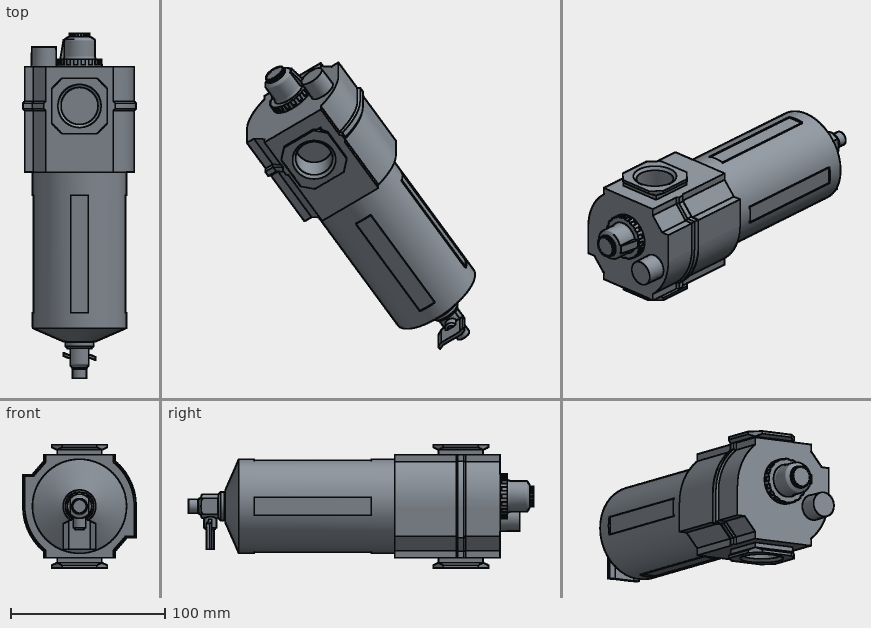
import cadquery as cq
import math


HOUSING_TOP_Y = 25.4
HOUSING_BOTTOM_Y = -42.8
HOUSING_HALF_WIDTH = 35.5
HOUSING_HALF_HEIGHT = 33.4
NECK_HALF_WIDTH = 21.8
SHOULDER_Z = 28.7
LEDGE_X = 30.0
LEDGE_Z = 19.3
RIDGE_HEIGHT = 1.25
RIDGE_BASE_HALF = 3.1
RIDGE_CREST_HALF = RIDGE_BASE_HALF - RIDGE_HEIGHT

PORT_FACE_Z = 40.0
PORT_SIDE = 36.0
PORT_CORNER_CUT = 6.7
PORT_RIM_THICKNESS = 1.8
PORT_TAPER_HEIGHT = 1.7
PORT_NECK_SIDE = 29.0
PORT_BORE_RADIUS = 12.0
PORT_BORE_DEPTH = 20.0
PORT_CHAMFER = 2.0

BOWL_RADIUS = 30.5
BOWL_CYLINDER_END_Y = -143.9
BOWL_CONE_END_Y = -152.6
BOWL_CONE_END_RADIUS = 10.6
WINDOW_START_Y = -58.0
WINDOW_END_Y = -133.9
WINDOW_WIDTH = 11.6
WINDOW_FLAT_RADIUS = 29.3

DRAIN_END_Y = -176.5
COLLAR_RADIUS = 9.25
COLLAR_EDGE = 0.5
COLLAR_RIM_END_Y = -155.5
COLLAR_END_Y = -157.0
BARREL_RADIUS = 7.9
BARREL_FLAT_HALF = 6.0
BARREL_FLAT_START_Y = -157.4
BARREL_ROUND_START_Y = -166.7
BARREL_ROUND_END_Y = -168.2
BARREL_ROUND_END_RADIUS = 6.5
THROAT_END_Y = -169.6
THROAT_END_RADIUS = 5.0
GROOVE_RADIUS = 4.3
GROOVE_END_Y = -170.5
SPOUT_RADIUS = 4.65
STEM_Y = -162.3
STEM_RADIUS = 4.1
STEM_END_Z = -15.2
STEM_CHAMFER = 1.4
WING_THICKNESS = 2.2
WING_FLAT_HALF = 7.1
WING_HALF_WIDTH = 10.5
WING_BEND = 1.4
WING_TOP_Z = -8.5
WING_BOTTOM_Z = -28.0
WING_CORNER_X = 5.1
WING_CORNER_Z = -11.3

KNOB_AXIS_Z = 6.4
KNOB_TOP_Y = 47.2
FLANGE_RADIUS = 14.6
FLANGE_BASE_TOP_Y = 26.6
FLANGE_TOP_Y = 30.1
FLARE_RADIUS = 10.7
FLARE_TOP_Y = 32.0
DOME_RADIUS = 10.1
DOME_SHOULDER_Y = 42.2
DOME_ROUND_RADIUS = 9.6
DOME_ROUND_END_Y = 43.3
DOME_TOP_RADIUS = 7.2
CAP_RADIUS = 6.7
CAP_BASE_Y = 44.8
NOTCH_COUNT = 18
FLANGE_NOTCH_WIDTH = 2.6
FLANGE_NOTCH_DEPTH = 0.5
CAP_NOTCH_WIDTH = 0.9
CAP_NOTCH_DEPTH = 0.4
RIB_WIDTH = 5.5
RIB_TOP_Y = 43.0
RIB_TOP_X = -10.4
RIB_BOTTOM_X = -12.6

PLUG_X = -23.05
PLUG_Z = -8.1
PLUG_END_Y = 38.2
PLUG_BASE_RADIUS = 8.25
PLUG_END_RADIUS = 7.95


def plane_at_y(y, x=0, z=0):
    """Sketch plane facing +Y; its local axes are +X and -Z."""
    return cq.Workplane(cq.Plane(origin=(x, y, z), xDir=(1, 0, 0), normal=(0, 1, 0)))


def box_between(x_range, y_range, z_range):
    sizes = [high - low for low, high in (x_range, y_range, z_range)]
    corner = (x_range[0], y_range[0], z_range[0])
    return cq.Workplane("XY").box(*sizes, centered=False).translate(corner)


def revolve_profile(profile):
    """Revolve a closed sketch of (radius, y) points about the Y axis."""
    return profile.close().revolve(360, (0, 0, 0), (0, 1, 0))


def housing_outline(y, offset=0.0):
    """Cross-section with half-turn symmetry: two ledges and two round sides
    that run tangent into the flat side walls."""
    side_run = HOUSING_HALF_WIDTH - NECK_HALF_WIDTH
    side_radius = (side_run ** 2 + SHOULDER_Z ** 2) / (2 * side_run)
    half_angle = math.asin(SHOULDER_Z / side_radius) / 2
    round_mid_x = HOUSING_HALF_WIDTH - side_radius * (1 - math.cos(half_angle))
    round_mid_z = side_radius * math.sin(half_angle)
    outline = (
        plane_at_y(y)
        .moveTo(-NECK_HALF_WIDTH, -HOUSING_HALF_HEIGHT)
        .lineTo(NECK_HALF_WIDTH, -HOUSING_HALF_HEIGHT)
        .lineTo(NECK_HALF_WIDTH, -SHOULDER_Z)
        .threePointArc((round_mid_x, -round_mid_z), (HOUSING_HALF_WIDTH, 0))
        .lineTo(HOUSING_HALF_WIDTH, LEDGE_Z)
        .lineTo(LEDGE_X, LEDGE_Z)
        .lineTo(NECK_HALF_WIDTH, SHOULDER_Z)
        .lineTo(NECK_HALF_WIDTH, HOUSING_HALF_HEIGHT)
        .lineTo(-NECK_HALF_WIDTH, HOUSING_HALF_HEIGHT)
        .lineTo(-NECK_HALF_WIDTH, SHOULDER_Z)
        .threePointArc((-round_mid_x, round_mid_z), (-HOUSING_HALF_WIDTH, 0))
        .lineTo(-HOUSING_HALF_WIDTH, -LEDGE_Z)
        .lineTo(-LEDGE_X, -LEDGE_Z)
        .lineTo(-NECK_HALF_WIDTH, -SHOULDER_Z)
        .close()
    )
    return outline.offset2D(offset, "intersection") if offset else outline


def make_ridge():
    """Band with 45 degree flanks around the housing, flush with the port faces."""
    crest = housing_outline(-RIDGE_CREST_HALF, RIDGE_HEIGHT).extrude(2 * RIDGE_CREST_HALF)
    crest_wire = housing_outline(RIDGE_CREST_HALF, RIDGE_HEIGHT).val()
    base_wire = housing_outline(RIDGE_BASE_HALF).val()
    flank = cq.Workplane(cq.Solid.makeLoft([crest_wire, base_wire], True))
    ridge = crest.union(flank).union(flank.mirror("XZ"))
    full_width = (-2 * HOUSING_HALF_WIDTH, 2 * HOUSING_HALF_WIDTH)
    slab = box_between(full_width, full_width, (-HOUSING_HALF_HEIGHT, HOUSING_HALF_HEIGHT))
    return ridge.intersect(slab)


def make_port_boss():
    """Square neck flaring to a square rim whose corners are cut off."""
    rim_z = PORT_FACE_Z - PORT_RIM_THICKNESS
    taper_z = rim_z - PORT_TAPER_HEIGHT
    neck = (
        cq.Workplane("XY", origin=(0, 0, HOUSING_HALF_HEIGHT))
        .rect(PORT_NECK_SIDE, PORT_NECK_SIDE)
        .extrude(taper_z - HOUSING_HALF_HEIGHT)
    )
    taper = (
        cq.Workplane("XY", origin=(0, 0, taper_z))
        .rect(PORT_NECK_SIDE, PORT_NECK_SIDE)
        .workplane(offset=PORT_TAPER_HEIGHT)
        .rect(PORT_SIDE, PORT_SIDE)
        .loft(ruled=True)
    )
    rim = (
        cq.Workplane("XY", origin=(0, 0, rim_z))
        .rect(PORT_SIDE, PORT_SIDE)
        .extrude(PORT_RIM_THICKNESS)
    )
    corner_trim = (
        cq.Workplane("XY", origin=(0, 0, HOUSING_HALF_HEIGHT))
        .rect(PORT_SIDE, PORT_SIDE)
        .extrude(PORT_FACE_Z - HOUSING_HALF_HEIGHT)
        .edges("|Z")
        .chamfer(PORT_CORNER_CUT)
    )
    return neck.union(taper).union(rim).intersect(corner_trim)


def make_port_bore():
    """Blind bore with a 45 degree entry chamfer."""
    floor_z = PORT_FACE_Z - PORT_BORE_DEPTH
    return (
        cq.Workplane("XZ")
        .moveTo(0, floor_z)
        .lineTo(PORT_BORE_RADIUS, floor_z)
        .lineTo(PORT_BORE_RADIUS, PORT_FACE_Z - PORT_CHAMFER)
        .lineTo(PORT_BORE_RADIUS + PORT_CHAMFER, PORT_FACE_Z)
        .lineTo(0, PORT_FACE_Z)
        .close()
        .revolve(360, (0, 0, 0), (0, 1, 0))
    )


def make_housing():
    body = housing_outline(HOUSING_BOTTOM_Y).extrude(HOUSING_TOP_Y - HOUSING_BOTTOM_Y)
    body = body.union(make_ridge())
    boss = make_port_boss()
    bore = make_port_bore()
    body = body.union(boss).union(boss.mirror("XY"))
    return body.cut(bore).cut(bore.mirror("XY"))


def make_bowl():
    """Cylinder with a conical end and four shallow flat windows."""
    bowl = revolve_profile(
        cq.Workplane("XY")
        .moveTo(0, HOUSING_BOTTOM_Y)
        .lineTo(BOWL_RADIUS, HOUSING_BOTTOM_Y)
        .lineTo(BOWL_RADIUS, BOWL_CYLINDER_END_Y)
        .lineTo(BOWL_CONE_END_RADIUS, BOWL_CONE_END_Y)
        .lineTo(0, BOWL_CONE_END_Y)
    )
    window = box_between(
        (-WINDOW_WIDTH / 2, WINDOW_WIDTH / 2),
        (WINDOW_END_Y, WINDOW_START_Y),
        (WINDOW_FLAT_RADIUS, BOWL_RADIUS + 1),
    )
    for angle in (0, 90, 180, 270):
        bowl = bowl.cut(window.rotate((0, 0, 0), (0, 1, 0), angle))
    return bowl


def make_drain_barrel():
    """Turned barrel with collar and spout, flattened on both X sides."""
    barrel = revolve_profile(
        cq.Workplane("XY")
        .moveTo(0, BOWL_CONE_END_Y)
        .lineTo(COLLAR_RADIUS - COLLAR_EDGE, BOWL_CONE_END_Y)
        .lineTo(COLLAR_RADIUS, BOWL_CONE_END_Y - COLLAR_EDGE)
        .lineTo(COLLAR_RADIUS, COLLAR_RIM_END_Y)
        .lineTo(BARREL_RADIUS, COLLAR_END_Y)
        .lineTo(BARREL_RADIUS, BARREL_ROUND_START_Y)
        .tangentArcPoint((BARREL_ROUND_END_RADIUS, BARREL_ROUND_END_Y), relative=False)
        .tangentArcPoint((THROAT_END_RADIUS, THROAT_END_Y), relative=False)
        .lineTo(GROOVE_RADIUS, THROAT_END_Y)
        .lineTo(GROOVE_RADIUS, GROOVE_END_Y)
        .lineTo(SPOUT_RADIUS, GROOVE_END_Y)
        .lineTo(SPOUT_RADIUS, DRAIN_END_Y)
        .lineTo(0, DRAIN_END_Y)
    )
    flat_cut = box_between(
        (BARREL_FLAT_HALF, BARREL_RADIUS),
        (THROAT_END_Y, BARREL_FLAT_START_Y),
        (-BARREL_RADIUS, BARREL_RADIUS),
    )
    return barrel.cut(flat_cut).cut(flat_cut.mirror("YZ"))


def make_wing():
    """Bent plate: its -X tip leans toward +Y and its +X tip toward -Y."""
    half = WING_THICKNESS / 2
    plate = (
        cq.Workplane("XY", origin=(0, STEM_Y, WING_BOTTOM_Z))
        .moveTo(-WING_HALF_WIDTH, WING_BEND - half)
        .lineTo(-WING_FLAT_HALF, -half)
        .lineTo(WING_FLAT_HALF, -half)
        .lineTo(WING_HALF_WIDTH, -WING_BEND - half)
        .lineTo(WING_HALF_WIDTH, -WING_BEND + half)
        .lineTo(WING_FLAT_HALF, half)
        .lineTo(-WING_FLAT_HALF, half)
        .lineTo(-WING_HALF_WIDTH, WING_BEND + half)
        .close()
        .extrude(WING_TOP_Z - WING_BOTTOM_Z)
    )
    reach = WING_THICKNESS + WING_BEND
    face = (
        plane_at_y(STEM_Y - reach)
        .moveTo(-WING_HALF_WIDTH, -WING_BOTTOM_Z)
        .lineTo(-WING_HALF_WIDTH, -WING_CORNER_Z)
        .lineTo(-WING_CORNER_X, -WING_TOP_Z)
        .lineTo(WING_CORNER_X, -WING_TOP_Z)
        .lineTo(WING_HALF_WIDTH, -WING_CORNER_Z)
        .lineTo(WING_HALF_WIDTH, -WING_BOTTOM_Z)
        .close()
        .extrude(2 * reach)
    )
    return plate.intersect(face)


def make_drain_valve():
    stem = (
        cq.Workplane("XY", origin=(0, STEM_Y, STEM_END_Z))
        .circle(STEM_RADIUS)
        .extrude(-STEM_END_Z)
        .faces("<Z")
        .chamfer(STEM_CHAMFER)
    )
    return make_drain_barrel().union(stem).union(make_wing())


def cut_notches(knob, radius, depth, width, y_range):
    """Cut a ring of evenly spaced notches into a rim of the given radius."""
    pitch = 360 / NOTCH_COUNT
    cutter = box_between((-width / 2, width / 2), y_range, (radius - depth, radius + depth))
    for index in range(NOTCH_COUNT):
        angle = (index + 0.5) * pitch
        knob = knob.cut(cutter.rotate((0, 0, 0), (0, 1, 0), angle))
    return knob


def make_knob():
    knob = revolve_profile(
        cq.Workplane("XY")
        .moveTo(0, HOUSING_TOP_Y)
        .lineTo(FLANGE_RADIUS, HOUSING_TOP_Y)
        .lineTo(FLANGE_RADIUS, FLANGE_TOP_Y)
        .lineTo(FLARE_RADIUS, FLANGE_TOP_Y)
        .lineTo(DOME_RADIUS, FLARE_TOP_Y)
        .lineTo(DOME_RADIUS, DOME_SHOULDER_Y)
        .tangentArcPoint((DOME_ROUND_RADIUS, DOME_ROUND_END_Y), relative=False)
        .lineTo(DOME_TOP_RADIUS, CAP_BASE_Y)
        .lineTo(CAP_RADIUS, CAP_BASE_Y)
        .lineTo(CAP_RADIUS, KNOB_TOP_Y)
        .lineTo(0, KNOB_TOP_Y)
    )
    knob = cut_notches(
        knob, FLANGE_RADIUS, FLANGE_NOTCH_DEPTH, FLANGE_NOTCH_WIDTH, (FLANGE_BASE_TOP_Y, FLANGE_TOP_Y)
    )
    knob = cut_notches(knob, CAP_RADIUS, CAP_NOTCH_DEPTH, CAP_NOTCH_WIDTH, (CAP_BASE_Y, KNOB_TOP_Y))
    rib = (
        cq.Workplane("XY", origin=(0, 0, -RIB_WIDTH / 2))
        .moveTo(0, FLANGE_TOP_Y)
        .lineTo(RIB_BOTTOM_X, FLANGE_TOP_Y)
        .lineTo(RIB_TOP_X, RIB_TOP_Y)
        .lineTo(-CAP_RADIUS, RIB_TOP_Y)
        .lineTo(0, FLARE_TOP_Y)
        .close()
        .extrude(RIB_WIDTH)
    )
    return knob.union(rib).translate((0, 0, KNOB_AXIS_Z))


def make_filler_plug():
    """Slightly tapered round plug."""
    return (
        plane_at_y(HOUSING_TOP_Y, PLUG_X, PLUG_Z)
        .circle(PLUG_BASE_RADIUS)
        .workplane(offset=PLUG_END_Y - HOUSING_TOP_Y)
        .circle(PLUG_END_RADIUS)
        .loft(ruled=True)
    )


housing = make_housing()
bowl = make_bowl()
drain_valve = make_drain_valve()
knob = make_knob()
filler_plug = make_filler_plug()

result = cq.Compound.makeCompound(
    [housing.val(), bowl.val(), drain_valve.val(), knob.val(), filler_plug.val()]
)